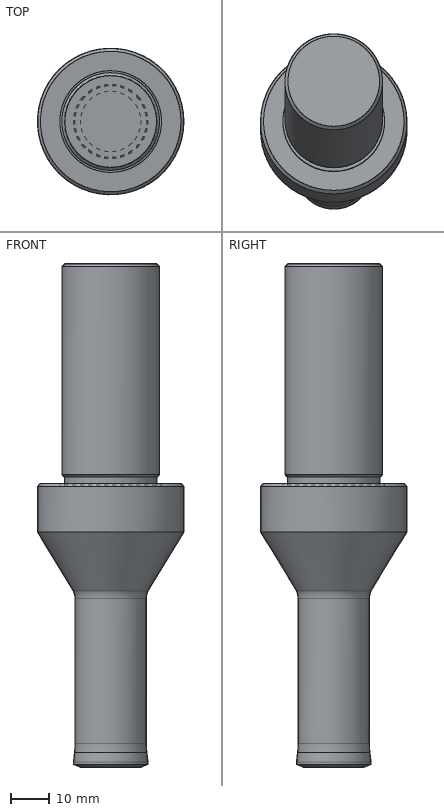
import cadquery as cq

TOTAL_LENGTH = 131.0
TIP_HEIGHT = 3.8
RIM_TOP = 1.5
RIM_BOTTOM = 0.8
FLARE_TOP = 6.2
STEM_TOP = 43.9
CONE_BOTTOM = 45.9
COLLAR_BOTTOM = 61.2
COLLAR_TOP = 73.9
SHANK_BOTTOM = 75.5

TIP_FACE_RADIUS = 7.9
RIM_RADIUS = 9.7
JOINT_RADIUS = 9.5
STEM_RADIUS = 9.3
CONE_END_RADIUS = 9.7
COLLAR_DIAMETER = 38.1
COLLAR_RADIUS = COLLAR_DIAMETER / 2
SHANK_RADIUS = 12.7
NECK_RADIUS = 12.0
RELIEF_RADIUS = 13.2

COLLAR_CHAMFER = 0.8
SHANK_CHAMFER = 0.8
SHANK_LOWER_CHAMFER = 0.7
RELIEF_DEPTH = 0.4

FLARE_HEIGHT = FLARE_TOP - TIP_HEIGHT
FLARE_WIDTH = JOINT_RADIUS - STEM_RADIUS
FLARE_ARC_RADIUS = (FLARE_HEIGHT**2 + FLARE_WIDTH**2) / (2 * FLARE_WIDTH)


def revolve_profile(profile):
    """Revolve a closed radius/height profile about the Z axis."""
    return profile.close().revolve(360, (0, 0, 0), (0, 1, 0))


def make_holder():
    """Shank, collar, cone and stem turned in one piece."""
    profile = (
        cq.Workplane("XZ")
        .moveTo(0, TIP_HEIGHT)
        .lineTo(JOINT_RADIUS, TIP_HEIGHT)
        .radiusArc((STEM_RADIUS, FLARE_TOP), FLARE_ARC_RADIUS)
        .lineTo(STEM_RADIUS, STEM_TOP)
        .tangentArcPoint((CONE_END_RADIUS, CONE_BOTTOM), relative=False)
        .lineTo(COLLAR_RADIUS, COLLAR_BOTTOM)
        .lineTo(COLLAR_RADIUS, COLLAR_TOP - COLLAR_CHAMFER)
        .lineTo(COLLAR_RADIUS - COLLAR_CHAMFER, COLLAR_TOP)
        .lineTo(RELIEF_RADIUS, COLLAR_TOP)
        .lineTo(RELIEF_RADIUS, COLLAR_TOP - RELIEF_DEPTH)
        .lineTo(NECK_RADIUS, COLLAR_TOP - RELIEF_DEPTH)
        .lineTo(NECK_RADIUS, SHANK_BOTTOM)
        .lineTo(SHANK_RADIUS, SHANK_BOTTOM + SHANK_LOWER_CHAMFER)
        .lineTo(SHANK_RADIUS, TOTAL_LENGTH - SHANK_CHAMFER)
        .lineTo(SHANK_RADIUS - SHANK_CHAMFER, TOTAL_LENGTH)
        .lineTo(0, TOTAL_LENGTH)
    )
    return revolve_profile(profile)


def make_tip():
    """Cutting tip: widens down to a rim, then tapers into the end face."""
    profile = (
        cq.Workplane("XZ")
        .lineTo(TIP_FACE_RADIUS, 0)
        .lineTo(RIM_RADIUS, RIM_BOTTOM)
        .lineTo(RIM_RADIUS, RIM_TOP)
        .lineTo(JOINT_RADIUS, TIP_HEIGHT)
        .lineTo(0, TIP_HEIGHT)
    )
    return revolve_profile(profile)


holder = make_holder()
tip = make_tip()
result = cq.Compound.makeCompound([holder.val(), tip.val()])